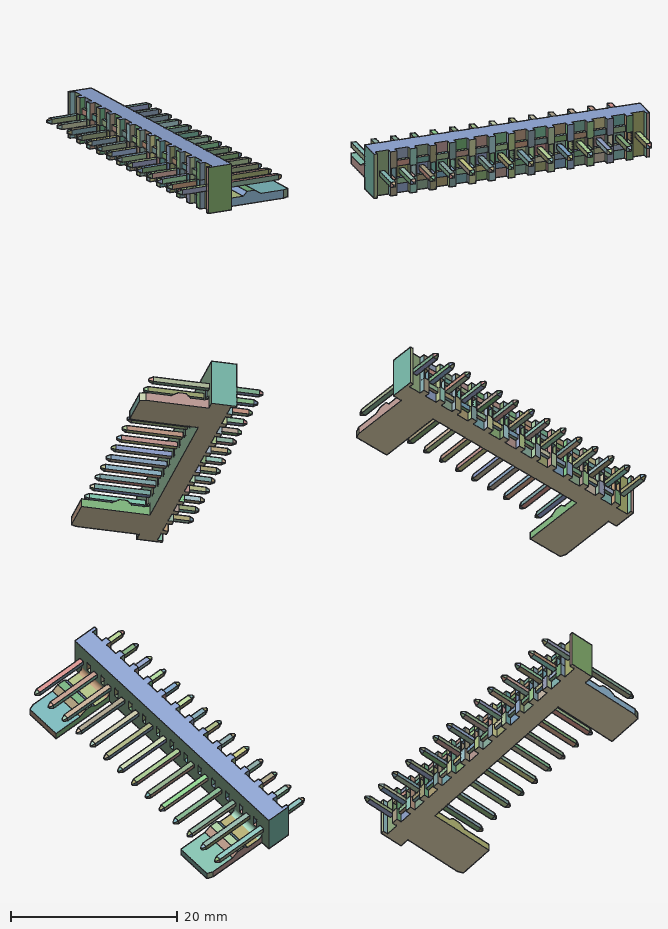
import cadquery as cq


housing_length = 35.55
housing_depth = 3.15
housing_height = 5.8
mid_height = housing_height / 2

pin_count = 14
pitch = housing_length / pin_count
pin_size = 0.65
pin_front_reach = 3.55
pin_rear_reach = 7.45
tip_length = 0.5
tip_size = 0.25

pin_drop = 0.05
pin_z = mid_height - pin_drop

rib_width = 0.85
channel_width = pitch - rib_width
channel_depth = 0.68

ledge_front = 0.3
ledge_inner_offset = 0.8
ledge_height = 0.75

window_width = 0.6
window_height = 1.5

tab_reach = 8.55
tab_thickness = 1.05
tab_pitches = 2
tab_width = tab_pitches * pitch
tab_chamfer_width = 0.3
tab_chamfer_length = 0.7
tab_root_radius = 0.6

bump_height = 0.55
bump_start = 2.28
bump_top_start = 2.8
bump_top_end = 3.85
bump_end = 4.7

first_pin_x = -(pin_count - 1) * pitch / 2
pin_positions = [first_pin_x + i * pitch for i in range(pin_count)]
rib_positions = [x + pitch / 2 for x in pin_positions[:-1]]


def box(x_mid, width, y_start, y_end, z_mid, height):
    """Block centred on x_mid and z_mid, running from y_start to y_end."""
    block = cq.Workplane("XY").box(width, y_end - y_start, height, centered=(True, False, True))
    return block.translate((x_mid, y_start, z_mid))


def make_housing():
    """Bar with channels, ledges and rib windows."""
    housing = box(0, housing_length, 0, housing_depth, mid_height, housing_height)
    for x in pin_positions:
        housing = housing.cut(box(x, channel_width, 0, channel_depth, mid_height, housing_height))
    ledge_offset = ledge_inner_offset + ledge_height / 2
    for x in pin_positions[1:-1]:
        for z in (mid_height - ledge_offset, mid_height + ledge_offset):
            housing = housing.union(box(x, channel_width, ledge_front, channel_depth, z, ledge_height))
    for x in rib_positions:
        housing = housing.cut(box(x, window_width, 0, housing_depth, pin_z, window_height))
    return housing


def make_tip(y_base, direction):
    """Square tip tapering away from y_base along +Y (direction 1) or -Y (direction -1)."""
    base = cq.Plane(origin=(0, y_base, pin_z), xDir=(1, 0, 0), normal=(0, direction, 0))
    return (
        cq.Workplane(base)
        .rect(pin_size, pin_size)
        .workplane(offset=tip_length)
        .rect(tip_size, tip_size)
        .loft(ruled=True)
    )


def make_pin():
    """Square pin with a tapered tip at both ends, at X = 0."""
    shank_front = tip_length - pin_front_reach
    shank_rear = housing_depth + pin_rear_reach - tip_length
    shank = box(0, pin_size, shank_front, shank_rear, pin_z, pin_size)
    return shank.union(make_tip(shank_front, -1)).union(make_tip(shank_rear, 1))


def make_right_tab():
    """Locking tab at the +X end, with its outer rear corner cut off at a slant."""
    root = housing_depth
    outer_x = pin_positions[-1]
    inner_x = outer_x - tab_width
    rear = root + tab_reach
    bump_top = tab_thickness + bump_height
    profile = (
        cq.Workplane("YZ", origin=(inner_x, 0, 0))
        .moveTo(root, 0)
        .lineTo(rear, 0)
        .lineTo(rear, tab_thickness)
        .lineTo(root + bump_end, tab_thickness)
        .lineTo(root + bump_top_end, bump_top)
        .lineTo(root + bump_top_start, bump_top)
        .lineTo(root + bump_start, tab_thickness)
        .lineTo(root + tab_root_radius, tab_thickness)
        .radiusArc((root, tab_thickness + tab_root_radius), tab_root_radius)
        .close()
    )
    corner = (
        cq.Workplane("XY")
        .moveTo(outer_x, rear)
        .lineTo(outer_x - tab_chamfer_width, rear)
        .lineTo(outer_x, rear - tab_chamfer_length)
        .close()
        .extrude(tab_thickness)
    )
    return profile.extrude(tab_width).cut(corner)


right_tab = make_right_tab()
result = make_housing().union(right_tab).union(right_tab.mirror("YZ"))

pin = make_pin()
for x in pin_positions:
    result = result.union(pin.translate((x, 0, 0)))